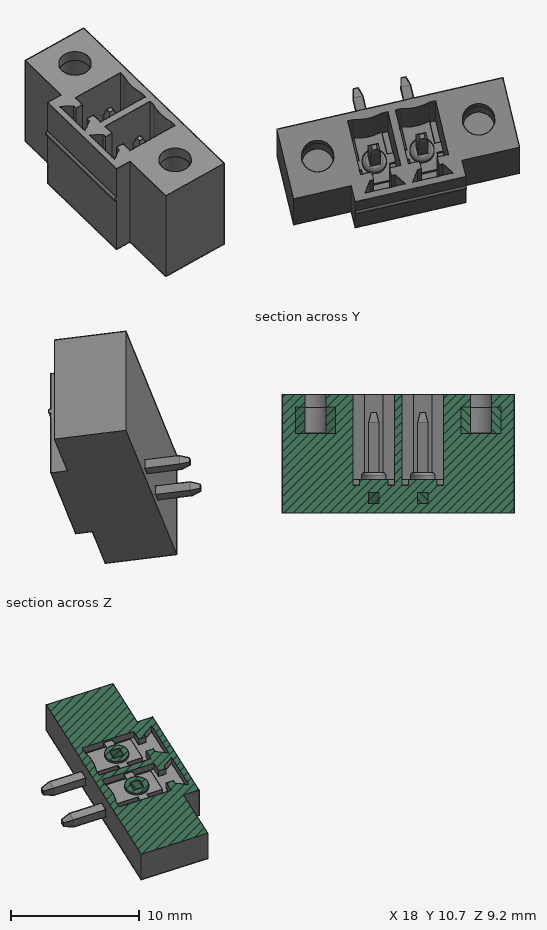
import cadquery as cq


LENGTH = 18.01
HEIGHT = 9.2
DEPTH = 7.0
NOSE_WIDTH = 8.82
NOSE_STEP = 1.31
RIDGE_RADIUS = 0.2
RIDGE_Z = 5.75

PITCH = 3.8
ROW_Y = -2.81
PIN_XS = [-PITCH / 2, PITCH / 2]
FLANGE_HOLE_X = 6.41
FLANGE_XS = [-FLANGE_HOLE_X, FLANGE_HOLE_X]

CHAMBER_WIDTH = 3.2
CHAMBER_BACK_Y = -0.61
CHAMBER_FRONT_Y = -4.99
CHAMBER_FLOOR_Z = 2.16
BULGE_HEIGHT = 0.16

NECK_WIDTH = 1.4
NECK_FRONT_Y = -5.62
FLARE_BACK_WIDTH = 2.02
FLARE_FRONT_Y = -6.5

PEDESTAL_WIDTH = 2.23
PEDESTAL_FRONT_Y = -4.5
PEDESTAL_HEIGHT = 0.45
ARM_WIDTH = 0.75

BOSS_DIAMETER = 1.9
BOSS_HEIGHT = 0.54
BOSS_FILLET = 0.25

PIN_SIDE = 0.8
PIN_TIP_SIDE = 0.4
PIN_TIP_LENGTH = 0.75
PIN_TOP_Z = 7.8
TAIL_Z = 1.17
TAIL_LENGTH = 3.5

BORE_DIAMETER = 2.5
BUSH_DIAMETER = 3.6
BUSH_TOP_DEPTH = 1.0
BUSH_HEIGHT = 2.0

PEDESTAL_TOP_Z = CHAMBER_FLOOR_Z + PEDESTAL_HEIGHT
BOSS_TOP_Z = PEDESTAL_TOP_Z + BOSS_HEIGHT
BUSH_BOTTOM_Z = HEIGHT - BUSH_TOP_DEPTH - BUSH_HEIGHT


def box(x_size, y_min, y_max, z_min, z_max):
    """Block centred on X = 0 between the given Y and Z limits."""
    block = cq.Workplane("XY").box(x_size, y_max - y_min, z_max - z_min, centered=(True, False, False))
    return block.translate((0, y_min, z_min))


def cylinder(diameter, x, z_min, z_max):
    """Upright cylinder on the pin row line."""
    return cq.Workplane("XY", origin=(x, ROW_Y, z_min)).circle(diameter / 2).extrude(z_max - z_min)


def make_shell():
    """Flanged block with the projecting nose and the half-round ridge across its front."""
    flanged_block = box(LENGTH, NOSE_STEP - DEPTH, 0, 0, HEIGHT)
    nose = box(NOSE_WIDTH, -DEPTH, 0, 0, HEIGHT)
    ridge = (
        cq.Workplane("YZ", origin=(-NOSE_WIDTH / 2, -DEPTH, RIDGE_Z))
        .circle(RIDGE_RADIUS)
        .extrude(NOSE_WIDTH)
    )
    return flanged_block.union(nose).union(ridge)


def make_chamber():
    """Space of one contact chamber, with the bulged back wall and the dovetail keying slot."""
    half_width = CHAMBER_WIDTH / 2
    half_bulge = PEDESTAL_WIDTH / 2
    half_neck = NECK_WIDTH / 2
    half_flare = FLARE_BACK_WIDTH / 2
    return (
        cq.Workplane("XY", origin=(0, 0, CHAMBER_FLOOR_Z))
        .moveTo(-half_width, CHAMBER_BACK_Y)
        .lineTo(-half_bulge, CHAMBER_BACK_Y)
        .threePointArc((0, CHAMBER_BACK_Y - BULGE_HEIGHT), (half_bulge, CHAMBER_BACK_Y))
        .lineTo(half_width, CHAMBER_BACK_Y)
        .lineTo(half_width, CHAMBER_FRONT_Y)
        .lineTo(half_neck, CHAMBER_FRONT_Y)
        .lineTo(half_neck, NECK_FRONT_Y)
        .lineTo(half_flare, NECK_FRONT_Y)
        .lineTo(half_width, FLARE_FRONT_Y)
        .lineTo(-half_width, FLARE_FRONT_Y)
        .lineTo(-half_flare, NECK_FRONT_Y)
        .lineTo(-half_neck, NECK_FRONT_Y)
        .lineTo(-half_neck, CHAMBER_FRONT_Y)
        .lineTo(-half_width, CHAMBER_FRONT_Y)
        .close()
        .extrude(HEIGHT - CHAMBER_FLOOR_Z)
    )


def make_pedestal():
    """Raised floor that carries one pin: a block, two side arms and a round boss with a rounded rim."""
    block = box(PEDESTAL_WIDTH, PEDESTAL_FRONT_Y, CHAMBER_BACK_Y, CHAMBER_FLOOR_Z, PEDESTAL_TOP_Z)
    arms = box(
        CHAMBER_WIDTH, ROW_Y - ARM_WIDTH / 2, ROW_Y + ARM_WIDTH / 2, CHAMBER_FLOOR_Z, PEDESTAL_TOP_Z
    )
    boss = cylinder(BOSS_DIAMETER, 0, PEDESTAL_TOP_Z, BOSS_TOP_Z).faces(">Z").edges().fillet(BOSS_FILLET)
    return block.union(arms).union(boss)


def pin_tip(plane):
    """Truncated pyramid that ends a pin, rising from the given plane."""
    return (
        cq.Workplane(plane)
        .rect(PIN_SIDE, PIN_SIDE)
        .workplane(offset=PIN_TIP_LENGTH)
        .rect(PIN_TIP_SIDE, PIN_TIP_SIDE)
        .loft()
    )


def make_pin(x):
    """Square pin bent at a right angle, with its contact end up and its tail out of the back."""
    half_side = PIN_SIDE / 2
    shoulder_y = TAIL_LENGTH - PIN_TIP_LENGTH
    shoulder_z = PIN_TOP_Z - PIN_TIP_LENGTH
    contact = box(PIN_SIDE, ROW_Y - half_side, ROW_Y + half_side, TAIL_Z - half_side, shoulder_z)
    tail = box(PIN_SIDE, ROW_Y - half_side, shoulder_y, TAIL_Z - half_side, TAIL_Z + half_side)
    contact_tip = pin_tip(cq.Plane(origin=(0, ROW_Y, shoulder_z)))
    tail_tip = pin_tip(cq.Plane(origin=(0, shoulder_y, TAIL_Z), xDir=(1, 0, 0), normal=(0, 1, 0)))
    return contact.union(tail).union(contact_tip).union(tail_tip).translate((x, 0, 0))


def make_bush(x):
    """Ring let into a flange, its bore flush with the hole above it."""
    ring = cylinder(BUSH_DIAMETER, x, BUSH_BOTTOM_Z, HEIGHT - BUSH_TOP_DEPTH)
    return ring.cut(cylinder(BORE_DIAMETER, x, BUSH_BOTTOM_Z, HEIGHT))


def make_housing(pins, bushes):
    """Shell with chambers, pedestals and flange holes, and a matching recess for every pin and bush."""
    housing = make_shell()
    chamber = make_chamber()
    pedestal = make_pedestal()
    for x in PIN_XS:
        housing = housing.cut(chamber.translate((x, 0, 0))).union(pedestal.translate((x, 0, 0)))
    for x in FLANGE_XS:
        housing = housing.cut(cylinder(BORE_DIAMETER, x, BUSH_BOTTOM_Z, HEIGHT))
    for insert in pins + bushes:
        housing = housing.cut(insert)
    return housing


pins = [make_pin(x) for x in PIN_XS]
bushes = [make_bush(x) for x in FLANGE_XS]
housing = make_housing(pins, bushes)

result = cq.Compound.makeCompound([body.solids().val() for body in [housing, *pins, *bushes]])